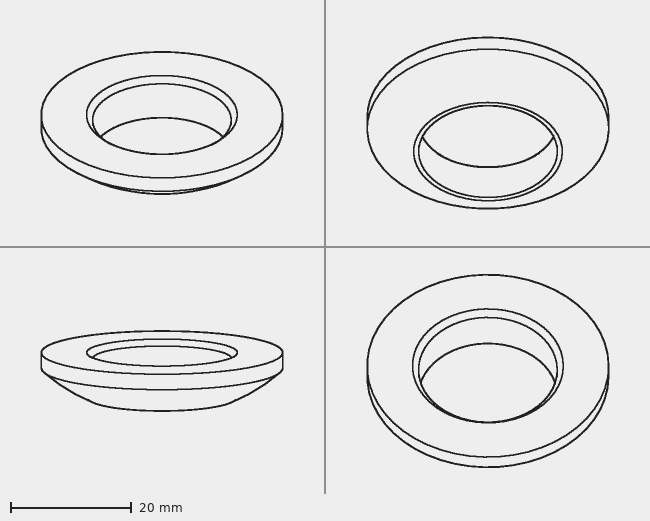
import cadquery as cq
import math

outer_radius = 20.0
height = 7.6
rim_height = 2.6
sphere_radius = 30.0
hole_radius = 11.5
chamfer = 1.0

rim_bottom = height - rim_height
sphere_center_z = rim_bottom + math.sqrt(sphere_radius**2 - outer_radius**2)


def sphere_radius_at(z):
    """Distance from the Z axis to the sphere at height z."""
    return math.sqrt(sphere_radius**2 - (sphere_center_z - z) ** 2)


result = (
    cq.Workplane("XZ")
    .moveTo(hole_radius, 0)
    .lineTo(sphere_radius_at(0), 0)
    .threePointArc(
        (sphere_radius_at(rim_bottom / 2), rim_bottom / 2),
        (outer_radius, rim_bottom),
    )
    .lineTo(outer_radius, height)
    .lineTo(hole_radius + chamfer, height)
    .lineTo(hole_radius, height - chamfer)
    .close()
    .revolve(360, (0, 0, 0), (0, 1, 0))
)